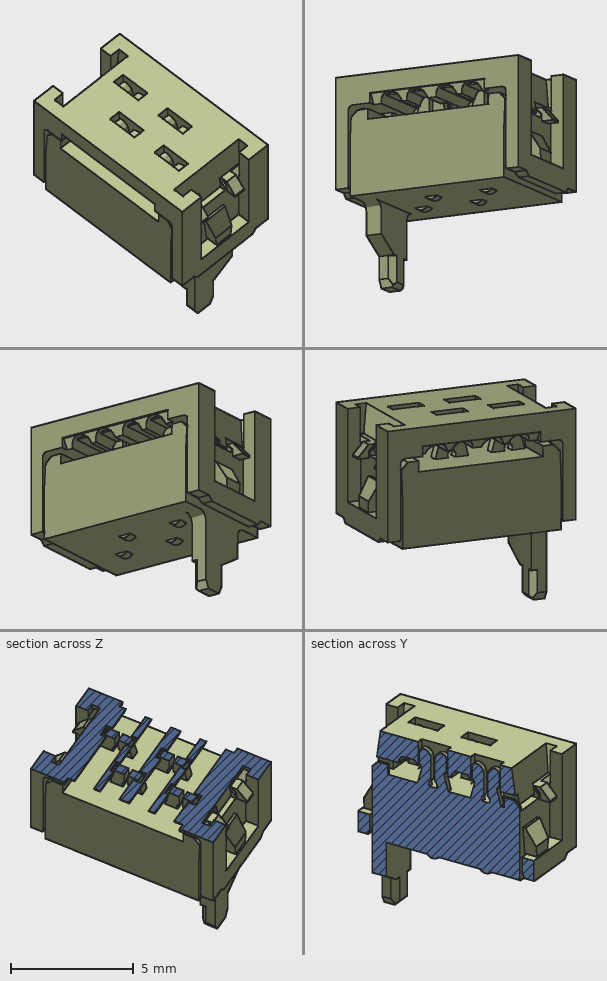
import cadquery as cq


LENGTH = 8.46
DEPTH = 5.0
COVER_TOP = 5.04
PEG_BOTTOM = -3.31

BASE_LENGTH = 7.12
BASE_FLOOR = 3.155
BASE_TOP = 3.6
BASE_TAPER_START = 2.21
BASE_TAPER = 0.11
POST_INNER_X = 2.79
POST_INNER_Y = 0.67
POST_CHAMFER = 0.29

WALL_INNER_X = 3.65
WALL_BOTTOM = 0.14
WALL_CORNER_BOTTOM = 0.35
WALL_FOOT_HALF_WIDTH = 1.6
WALL_LEAD_IN_WIDTH = 0.12
WALL_LEAD_IN_HEIGHT = 0.25
CEILING = 3.81
CEILING_RADIUS = 0.22
SIDE_OPENING_WIDTH = 2.775
SILL = 1.09
WINDOW_HALF_LENGTH = 2.66
WINDOW_TOP = 4.23
WINDOW_LEDGE = 0.1
WINDOW_SLOPE_DEPTH = 0.245
WIRE_RADIUS = 0.48
FRONT_WIRE_SHIFT = 0.085
WIRE_FLAT_TOP = 4.145

SOCKET_OUTER_X = 3.66
SOCKET_INNER_TOP_X = 3.16
SOCKET_INNER_CEILING_X = 3.34
SOCKET_HALF_WIDTH_TOP = 1.88
SOCKET_HALF_WIDTH_CEILING = 1.735
TAB_HALF_WIDTH = 0.58
TAB_BOTTOM = 3.35

PITCH = 1.27
ROW_OFFSET = 0.76
CONTACT_THICKNESS = 0.41
CONTACT_SLOT_LENGTH = 1.4
CONTACT_SLOT_WIDTH = 0.53
FORK_ROOT_HALF = 0.745
FORK_NECK_HALF = 0.54
FORK_NECK_Z = 3.89
FORK_HEAD_HALF = 0.66
FORK_HEAD_Z = 4.06
FORK_TOP = 4.8
PRONG_PEAK_X = 0.46
SLIT_HALF = 0.085
KEYHOLE_RADIUS = 0.19
KEYHOLE_Z = 3.265
NUB_HALF = 0.28
NUB_DROP = 0.13

LATCH_TOP = 2.34
LATCH_EDGE = 1.57
LATCH_TIP_X = 4.145
LATCH_LAND = 0.12
LATCH_TOP_HALF_WIDTH = 0.56
LATCH_BOTTOM_HALF_WIDTH = 0.415
CATCH_TIP_X = 4.035
CATCH_EDGE = 3.1
CATCH_BOTTOM = 3.03
CATCH_WIDTH = 0.525
CATCH_Y = 1.04

PEG_LEFT_X = 2.87
PEG_HALF_WIDTH = 1.1
PEG_ROOT_RADIUS = 0.4
PEG_SHOULDER_Z = -1.36
PEG_TIP_START = -2.005
PEG_TIP_BACK_Y = -0.01
PEG_BEVEL_X = 0.27
PEG_BEVEL_Y = 0.245
PEG_TIP_TAPER_Y = 0.19
PEG_TIP_TAPER_Z = 0.34
PEG_LEFT_TAPER = 0.2

HALF_LENGTH = LENGTH / 2
HALF_DEPTH = DEPTH / 2
BASE_HALF = BASE_LENGTH / 2
CONTACT_PLACES = [(-1.5 * PITCH, ROW_OFFSET), (-0.5 * PITCH, -ROW_OFFSET),
                  (0.5 * PITCH, ROW_OFFSET), (1.5 * PITCH, -ROW_OFFSET)]


def block(x0, x1, y0, y1, z0, z1):
    """Box between opposite corners."""
    return cq.Workplane("XY").box(x1 - x0, y1 - y0, z1 - z0, centered=False).translate((x0, y0, z0))


def slab_xz(outline, y0, y1):
    """Closed (x, z) outline extruded from y0 to y1."""
    return cq.Workplane("XZ", origin=(0, y0, 0)).polyline(outline).close().extrude(y0 - y1)


def slab_yz(outline, x0, x1):
    """Closed (y, z) outline extruded from x0 to x1."""
    return cq.Workplane("YZ", origin=(x0, 0, 0)).polyline(outline).close().extrude(x1 - x0)


def with_mirror(shape, plane):
    """The shape joined with its mirror image."""
    return shape.union(shape.mirror(plane))


def make_base():
    top_half_depth = HALF_DEPTH - BASE_TAPER
    body = slab_yz(
        [(-HALF_DEPTH, 0), (HALF_DEPTH, 0), (HALF_DEPTH, BASE_TAPER_START), (top_half_depth, BASE_TOP),
         (-top_half_depth, BASE_TOP), (-HALF_DEPTH, BASE_TAPER_START)],
        -BASE_HALF, BASE_HALF)
    body = body.edges("|Y and >Z").chamfer(POST_CHAMFER)
    body = body.cut(block(-POST_INNER_X, POST_INNER_X, -DEPTH, DEPTH, BASE_FLOOR, COVER_TOP))
    return body.cut(block(-LENGTH, LENGTH, -POST_INNER_Y, POST_INNER_Y, BASE_FLOOR, COVER_TOP))


def make_latches():
    """Wedges resting on the sills of the cover, narrower towards the bottom."""
    wedge = slab_xz(
        [(BASE_HALF, SILL), (LATCH_TIP_X, SILL), (LATCH_TIP_X, LATCH_EDGE),
         (BASE_HALF + LATCH_LAND, LATCH_TOP), (BASE_HALF, LATCH_TOP)],
        -LATCH_TOP_HALF_WIDTH, LATCH_TOP_HALF_WIDTH)
    narrowing = slab_yz(
        [(-LATCH_BOTTOM_HALF_WIDTH, SILL), (LATCH_BOTTOM_HALF_WIDTH, SILL),
         (LATCH_TOP_HALF_WIDTH, LATCH_TOP), (-LATCH_TOP_HALF_WIDTH, LATCH_TOP)],
        BASE_HALF, HALF_LENGTH)
    return with_mirror(wedge.intersect(narrowing), "YZ")


def make_catches():
    """Four small wedges at the top of the base posts."""
    inner_x = BASE_HALF - POST_CHAMFER
    catch = slab_xz(
        [(inner_x, CATCH_BOTTOM), (CATCH_TIP_X, CATCH_BOTTOM), (CATCH_TIP_X, CATCH_EDGE),
         (BASE_HALF, BASE_TOP), (inner_x, BASE_TOP)],
        CATCH_Y - CATCH_WIDTH / 2, CATCH_Y + CATCH_WIDTH / 2)
    return with_mirror(with_mirror(catch, "XZ"), "YZ")


def make_contact(x, y):
    """Forked contact with two rounded prongs above the base and a nub below it."""
    outer_radius = FORK_HEAD_HALF - PRONG_PEAK_X
    inner_radius = PRONG_PEAK_X - SLIT_HALF
    plane = cq.Workplane("XZ", origin=(x, y + CONTACT_THICKNESS / 2, 0))
    prong = (
        plane.moveTo(SLIT_HALF, 0)
        .lineTo(FORK_ROOT_HALF, 0)
        .lineTo(FORK_ROOT_HALF, BASE_FLOOR)
        .lineTo(FORK_NECK_HALF, FORK_NECK_Z)
        .lineTo(FORK_HEAD_HALF, FORK_HEAD_Z)
        .lineTo(FORK_HEAD_HALF, FORK_TOP - outer_radius)
        .radiusArc((PRONG_PEAK_X, FORK_TOP), -outer_radius)
        .radiusArc((SLIT_HALF, FORK_TOP - inner_radius), -inner_radius)
        .close()
        .extrude(CONTACT_THICKNESS)
    )
    nub = (
        plane.moveTo(-NUB_HALF, 0)
        .threePointArc((0, -NUB_DROP), (NUB_HALF, 0))
        .close()
        .extrude(CONTACT_THICKNESS)
    )
    keyhole = plane.center(0, KEYHOLE_Z).circle(KEYHOLE_RADIUS).extrude(CONTACT_THICKNESS)
    other_prong = prong.mirror("YZ", (x, 0, 0))
    return prong.union(other_prong).cut(keyhole).union(nub)


def make_peg():
    """Flat peg under the right end of the base, with a narrower bevelled tip."""
    front = -PEG_HALF_WIDTH
    right = BASE_HALF
    taper_z = PEG_BOTTOM + PEG_TIP_TAPER_Z
    root = PEG_HALF_WIDTH + PEG_ROOT_RADIUS
    peg = (
        cq.Workplane("YZ", origin=(PEG_LEFT_X, 0, 0))
        .moveTo(-root, 0)
        .radiusArc((front, -PEG_ROOT_RADIUS), PEG_ROOT_RADIUS)
        .lineTo(front, taper_z)
        .lineTo(front + PEG_TIP_TAPER_Y, PEG_BOTTOM)
        .lineTo(PEG_TIP_BACK_Y - PEG_TIP_TAPER_Y, PEG_BOTTOM)
        .lineTo(PEG_TIP_BACK_Y, taper_z)
        .lineTo(PEG_TIP_BACK_Y, PEG_TIP_START)
        .lineTo(PEG_HALF_WIDTH, PEG_SHOULDER_Z)
        .lineTo(PEG_HALF_WIDTH, -PEG_ROOT_RADIUS)
        .radiusArc((root, 0), PEG_ROOT_RADIUS)
        .close()
        .extrude(right - PEG_LEFT_X)
    )
    for edge_y, inward in ((front, 1), (PEG_TIP_BACK_Y, -1)):
        bevel = (
            cq.Workplane("XY", origin=(0, 0, PEG_BOTTOM))
            .moveTo(PEG_LEFT_X, edge_y)
            .lineTo(PEG_LEFT_X + PEG_BEVEL_X, edge_y)
            .lineTo(PEG_LEFT_X, edge_y + inward * PEG_BEVEL_Y)
            .close()
            .extrude(PEG_TIP_START - PEG_BOTTOM)
        )
        peg = peg.cut(bevel)
    left_taper = slab_xz(
        [(PEG_LEFT_X, PEG_BOTTOM), (PEG_LEFT_X + PEG_LEFT_TAPER, PEG_BOTTOM),
         (PEG_LEFT_X, PEG_BOTTOM + PEG_LEFT_TAPER)],
        front, PEG_HALF_WIDTH)
    return peg.cut(left_taper)


def make_cover_shell():
    """Top block with two side walls, rounded inside and stepped along the bottom."""
    shell = block(-HALF_LENGTH, HALF_LENGTH, -HALF_DEPTH, HALF_DEPTH, WALL_BOTTOM, COVER_TOP)
    inside = block(-WALL_INNER_X, WALL_INNER_X, -HALF_DEPTH, HALF_DEPTH, WALL_BOTTOM, CEILING)
    shell = shell.cut(inside.edges("|Y and >Z").fillet(CEILING_RADIUS))
    lead_in = slab_xz(
        [(WALL_INNER_X, WALL_BOTTOM), (WALL_INNER_X + WALL_LEAD_IN_WIDTH, WALL_BOTTOM),
         (WALL_INNER_X, WALL_BOTTOM + WALL_LEAD_IN_HEIGHT)],
        -HALF_DEPTH, HALF_DEPTH)
    shell = shell.cut(with_mirror(lead_in, "YZ"))
    corner_y = WALL_FOOT_HALF_WIDTH + WALL_CORNER_BOTTOM - WALL_BOTTOM
    corner = slab_yz(
        [(WALL_FOOT_HALF_WIDTH, WALL_BOTTOM), (HALF_DEPTH, WALL_BOTTOM),
         (HALF_DEPTH, WALL_CORNER_BOTTOM), (corner_y, WALL_CORNER_BOTTOM)],
        -HALF_LENGTH, HALF_LENGTH)
    return shell.cut(with_mirror(corner, "XZ"))


def side_cutouts():
    """Openings through the side walls and the tapered sockets behind them."""
    half_width = SIDE_OPENING_WIDTH / 2
    opening = block(WALL_INNER_X, HALF_LENGTH, -half_width, half_width, SILL, COVER_TOP)
    across_x = slab_xz(
        [(SOCKET_OUTER_X, CEILING), (SOCKET_OUTER_X, COVER_TOP),
         (SOCKET_INNER_TOP_X, COVER_TOP), (SOCKET_INNER_CEILING_X, CEILING)],
        -HALF_DEPTH, HALF_DEPTH)
    across_y = slab_yz(
        [(-SOCKET_HALF_WIDTH_CEILING, CEILING), (SOCKET_HALF_WIDTH_CEILING, CEILING),
         (SOCKET_HALF_WIDTH_TOP, COVER_TOP), (-SOCKET_HALF_WIDTH_TOP, COVER_TOP)],
        0, HALF_LENGTH)
    below = block(
        SOCKET_INNER_CEILING_X, SOCKET_OUTER_X, -SOCKET_HALF_WIDTH_CEILING, SOCKET_HALF_WIDTH_CEILING,
        CEILING - CEILING_RADIUS, CEILING)
    return with_mirror(opening.union(across_x.intersect(across_y)).union(below), "YZ")


def make_tabs():
    """Tabs hanging below the cover, continuing the slope of the socket walls."""
    slope = (SOCKET_INNER_CEILING_X - SOCKET_INNER_TOP_X) / (COVER_TOP - CEILING)
    bottom_x = SOCKET_INNER_CEILING_X + slope * (CEILING - TAB_BOTTOM)
    tab = slab_xz(
        [(WINDOW_HALF_LENGTH, TAB_BOTTOM), (bottom_x, TAB_BOTTOM),
         (SOCKET_INNER_CEILING_X, CEILING), (WINDOW_HALF_LENGTH, CEILING)],
        -TAB_HALF_WIDTH, TAB_HALF_WIDTH)
    return with_mirror(tab, "YZ")


def window_slopes():
    """Cable entry at the front and back: a short flat ceiling and a slope down behind it."""
    slope_start = -HALF_DEPTH + WINDOW_LEDGE
    entry = slab_yz(
        [(-HALF_DEPTH, CEILING), (-HALF_DEPTH, WINDOW_TOP), (slope_start, WINDOW_TOP),
         (slope_start + WINDOW_SLOPE_DEPTH, CEILING)],
        -WINDOW_HALF_LENGTH, WINDOW_HALF_LENGTH)
    return with_mirror(entry, "XZ")


def wire_groove(x):
    """Round groove for one wire; between the two entries its top is flat and lower."""
    groove = (
        cq.Workplane("XZ", origin=(x, HALF_DEPTH, WINDOW_TOP - WIRE_RADIUS))
        .circle(WIRE_RADIUS)
        .extrude(DEPTH)
    )
    entry_y = HALF_DEPTH - WINDOW_LEDGE - WINDOW_SLOPE_DEPTH
    infill = block(x - WIRE_RADIUS, x + WIRE_RADIUS, -entry_y, entry_y, WIRE_FLAT_TOP, WINDOW_TOP)
    return groove.cut(infill)


def contact_slot(x, y):
    half_length = CONTACT_SLOT_LENGTH / 2
    half_width = CONTACT_SLOT_WIDTH / 2
    return block(x - half_length, x + half_length, y - half_width, y + half_width, CEILING, COVER_TOP)


def make_cover():
    cover = make_cover_shell().cut(side_cutouts()).cut(window_slopes())
    for x, y in CONTACT_PLACES:
        wire_x = x - FRONT_WIRE_SHIFT if y < 0 else x
        cover = cover.cut(wire_groove(wire_x)).cut(contact_slot(x, y))
    return cover.union(make_tabs())


result = make_base().union(make_latches()).union(make_catches()).union(make_peg())
for contact_x, contact_y in CONTACT_PLACES:
    result = result.union(make_contact(contact_x, contact_y))
result = result.union(make_cover())